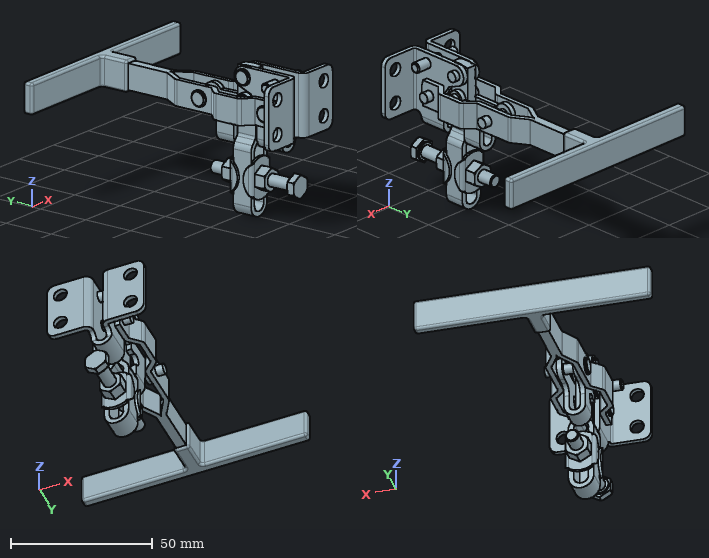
import cadquery as cq
import math

total_length = 90.0
total_height = 56.0
sheet = 2.0
inner_gap = sheet
plate_outer = inner_gap + sheet
fork_outer = plate_outer + sheet

pin_radius = 2.0
pin_head_radius = 3.1
pin_head_height = 1.0
pin_head_chamfer = 0.45
eye_radius = 2 * pin_radius
pivot_height = 41.1
arm_base_pivot = (22.5, total_height - eye_radius)
handle_base_pivot = (11.4, pivot_height)
handle_link_pivot = (40.5, pivot_height)
arm_link_pivot = (22.5, 42.9)
stop_pin_y = 8.1
stop_pin_half_length = 10.0
stop_pin_chamfer = 0.45
fork_pin_tail = 3.0
arm_pin_tail = 2.0

flange_half_width = 18.6
flange_height = 24.0
flange_corner = 3.0
hole_diameter = 5.0
hole_half_spacing = 13.5
hole_rows = (37.55, 50.6)
bend_outer_radius = 2.7
base_tab_front = 5.4
base_tab_back = 16.5
base_tab_fold = 30.4
base_corner_radius = 2.5
base_slope_end = (19.1, 46.4)
base_neck_height = 42.3

link_tab_front = 26.7
link_tab_back = 34.6
link_tab_fold = 29.4
link_top = 43.0
link_bottom = pivot_height - eye_radius
link_end_radius = 3.1
link_relief_radius = 2.2
link_relief_height = 35.6
link_corner_fillet = 3.3

arm_front = 18.5
arm_width = 8.0
arm_middle = arm_front + arm_width / 2
arm_top = 55.8
arm_top_crown = 0.4
loop_radius = 4.7
shoulder_top = 29.6
shoulder_bottom = 26.3
arm_bend_radius = 2.0

fork_height = 10.0
fork_bend_radius = 0.4
fork_front = 7.4
fork_front_crown = 0.7
bulge_outer = 10.0
bulge_step = bulge_outer - fork_outer
bulge_back = 35.1
bulge_front = 15.85
spread_y = 51.2
split_y = 57.8
grip_height = 12.0
grip_middle = 41.2
grip_half_length = 43.5
grip_bar = 4.0
grip_stem_half = 3.0
grip_stem_front = 75.1
grip_round = 1.0
grip_inner_fillet = 1.2

bolt_height = 14.7
bolt_radius = 2.4
bolt_end = 38.45
bolt_end_chamfer = 0.4
hex_flats = 8.0
hex_corners = hex_flats / math.cos(math.pi / 6)
hex_chamfer = 0.4
bolt_head = 2.9
head_collar_radius = 3.4
head_collar = 0.7
nut_thickness = 4.5
washer_thickness = 1.1
washer_radius = 7.9
washer_half_width = loop_radius + washer_thickness
washer_bend = 1.4
wing_chord = 12.6
wing_depth = 3.8


def slab(half_x, y0, y1, z0, z1):
    """Block centred on X = 0 between the given Y and Z limits."""
    block = cq.Workplane("XY").box(2 * half_x, y1 - y0, z1 - z0, centered=(True, False, False))
    return block.translate((0, y0, z0))


def rod(center, radius, x0, x1):
    """Cylinder along X at a (Y, Z) centre."""
    return cq.Workplane("YZ", origin=(x0, 0, 0)).center(*center).circle(radius).extrude(x1 - x0)


def shaft(radius, y0, y1):
    """Cylinder along Y on the bolt axis."""
    return cq.Workplane("XZ", origin=(0, y0, bolt_height)).circle(radius).extrude(y0 - y1)


def hexagon(y0, y1, crowned_face):
    """Hexagonal prism along Y on the bolt axis, corners up and down, one end crowned."""
    prism = cq.Workplane("XZ", origin=(0, y0, bolt_height)).polygon(6, hex_corners).extrude(y0 - y1)
    prism = prism.rotate((0, 0, bolt_height), (0, 1, bolt_height), 30)
    return prism.intersect(shaft(hex_corners / 2, y0, y1).faces(crowned_face).chamfer(hex_chamfer))


def inset(points, thickness):
    """Inner side of a bent sheet whose outer side runs down through the points."""
    normals = []
    for (x0, v0), (x1, v1) in zip(points, points[1:]):
        length = math.hypot(x1 - x0, v1 - v0)
        normals.append(((v1 - v0) / length, (x0 - x1) / length))
    inner = []
    for (x, v), (a0, b0), (a1, b1) in zip(points, normals[:1] + normals, normals + normals[-1:]):
        miter = thickness / (1 + a0 * a1 + b0 * b1)
        inner.append((x + miter * (a0 + a1), v + miter * (b0 + b1)))
    return inner


def bent_plies(workplane, points, inside_radius, depth):
    """Bent sheet whose outer side runs down through the points, with its mirror image about X = 0."""
    inner = inset(points, sheet)
    strip = workplane.polyline(points + inner[::-1]).close().extrude(depth)
    for before, corner, inner_corner, after in zip(points, points[1:], inner[1:], points[2:]):
        lean_before = (corner[0] - before[0]) / (before[1] - corner[1])
        lean_after = (after[0] - corner[0]) / (corner[1] - after[1])
        corners = (corner, inner_corner) if lean_after < lean_before else (inner_corner, corner)
        for (x, v), radius in zip(corners, (inside_radius + sheet, inside_radius)):
            middle = workplane.plane.toWorldCoords((x, v, depth / 2)).toTuple()
            strip = strip.edges(cq.selectors.NearestToPointSelector(middle)).fillet(radius)
    return strip.union(strip.mirror("YZ"))


def u_channel(y0, y1, fold, top):
    """Two side plates joined below Z = fold by a half-round bottom."""
    def profile(half_x):
        outline = cq.Workplane("XZ", origin=(0, y1, 0)).moveTo(-half_x, top).lineTo(-half_x, fold)
        outline = outline.threePointArc((0, fold - half_x), (half_x, fold)).lineTo(half_x, top)
        return outline.close().extrude(y1 - y0)
    return profile(plate_outer).cut(profile(inner_gap))


def yz_rectangle(y0, y1, z0, z1):
    """Closed rectangle in the YZ plane."""
    return cq.Workplane("YZ").polyline([(y0, z0), (y1, z0), (y1, z1), (y0, z1)]).close()


def plate_pair(outline):
    """Both base-width plates cut from a closed YZ outline."""
    return outline.extrude(plate_outer, both=True).cut(slab(inner_gap, 0, total_length, 0, total_height))


def crowned_block(shoulders, crest, far_corners):
    """Block across X whose (Y, Z) outline has one arched end through the crest, between the shoulders."""
    outline = cq.Workplane("YZ").moveTo(*shoulders[0]).threePointArc(crest, shoulders[1])
    for corner in far_corners:
        outline = outline.lineTo(*corner)
    return outline.close().extrude(bulge_outer, both=True)


def headed_pin(center, head_face, tail):
    """Pin with a chamfered head on the -X side; the shank ends beyond the +X face."""
    head = rod(center, pin_head_radius, -head_face - pin_head_height, -head_face)
    head = head.faces("<X").chamfer(pin_head_chamfer)
    return head.union(rod(center, pin_radius, -head_face, head_face + tail))


def mounting_base():
    """Two angle plates with drilled flanges, joined by a folded tab at the bottom."""
    flange_bottom = total_height - flange_height
    outer = [(flange_half_width, 0), (flange_half_width, sheet), (plate_outer, sheet),
             (plate_outer, base_tab_front), (inner_gap, base_tab_front), (inner_gap, 0)]
    flange = cq.Workplane("XY").polyline(outer).close().extrude(flange_height)
    flange = flange.edges(cq.selectors.NearestToPointSelector((inner_gap, 0, flange_height / 2)))
    flange = flange.fillet(bend_outer_radius)
    bend_edge = cq.selectors.NearestToPointSelector((plate_outer, sheet, flange_height / 2))
    flange = flange.edges(bend_edge).fillet(bend_outer_radius - sheet)
    flange = flange.faces(">X").edges("|Y").fillet(flange_corner).translate((0, 0, flange_bottom))
    for z in hole_rows:
        hole = cq.Workplane("XZ", origin=(hole_half_spacing, 0, z)).circle(hole_diameter / 2)
        flange = flange.cut(hole.extrude(-sheet))
    flanges = flange.union(flange.mirror("YZ"))

    eye_y, eye_z = arm_base_pivot
    slope_y, slope_z = base_slope_end
    center_direction = math.atan2(slope_z - eye_z, slope_y - eye_y)
    tangent_direction = center_direction + math.acos(eye_radius / math.dist(arm_base_pivot, base_slope_end))
    slope_start = (eye_y + eye_radius * math.cos(tangent_direction),
                   eye_z + eye_radius * math.sin(tangent_direction))
    outline = (
        cq.Workplane("YZ")
        .moveTo(base_tab_front, total_height)
        .lineTo(eye_y, total_height)
        .threePointArc((eye_y + eye_radius, eye_z), slope_start)
        .lineTo(slope_y, slope_z)
        .lineTo(base_tab_back, base_neck_height)
        .lineTo(base_tab_back, base_tab_fold)
        .lineTo(base_tab_front, base_tab_fold)
        .close()
    )

    corner_y = base_tab_front - base_corner_radius
    corner_z = flange_bottom - base_corner_radius
    corner = slab(plate_outer, corner_y, base_tab_front, corner_z, flange_bottom)
    corner = corner.cut(rod((corner_y, corner_z), base_corner_radius, -plate_outer, plate_outer))
    corner = corner.cut(slab(inner_gap, 0, base_tab_front, 0, total_height))

    tab = u_channel(base_tab_front, base_tab_back, base_tab_fold, flange_bottom)
    return flanges.union(plate_pair(outline)).union(corner).union(tab)


def link():
    """Two plates with an eye at each end, joined by a folded stop tab."""
    bar = yz_rectangle(arm_link_pivot[0], handle_link_pivot[0], link_bottom, link_top)
    tab_plate = yz_rectangle(link_tab_front, link_tab_back, link_tab_fold, link_bottom)
    plates = plate_pair(bar).union(plate_pair(tab_plate))
    for side in (-1, 1):
        middle = side * (inner_gap + plate_outer) / 2
        corner = cq.selectors.NearestToPointSelector((middle, link_tab_back, link_bottom))
        plates = plates.edges(corner).fillet(link_corner_fillet)
    for center, radius in ((handle_link_pivot, eye_radius), (arm_link_pivot, link_end_radius)):
        eye = rod(center, radius, -plate_outer, plate_outer)
        plates = plates.union(eye.cut(rod(center, radius, -inner_gap, inner_gap)))
    plates = plates.union(u_channel(link_tab_front, link_tab_back, link_tab_fold, link_tab_fold + sheet))
    relief = rod((link_tab_front, link_relief_height), link_relief_radius, -plate_outer, plate_outer)
    return plates.cut(relief)


def clamp_arm():
    """Two plies lying together at the top and spreading into a slotted loop below."""
    path = [(inner_gap, arm_top), (inner_gap, shoulder_top),
            (loop_radius, shoulder_bottom), (loop_radius, loop_radius)]
    back = cq.Workplane("XZ", origin=(0, arm_front + arm_width, 0))
    plies = bent_plies(back, path, arm_bend_radius, arm_width)
    ring = back.center(0, loop_radius).circle(loop_radius).circle(loop_radius - sheet).extrude(arm_width)
    arm = plies.union(ring.intersect(slab(loop_radius, 0, total_length, 0, loop_radius)))
    shoulders = [(arm_front, arm_top - arm_top_crown), (arm_front + arm_width, arm_top - arm_top_crown)]
    base = [(arm_front + arm_width, 0), (arm_front, 0)]
    return arm.intersect(crowned_block(shoulders, (arm_middle, arm_top), base))


def handle():
    """Two plies lying together inside the grip and forking around the linkage."""
    bottom = pivot_height - fork_height / 2
    path = [(sheet, grip_stem_front + grip_round), (sheet, split_y),
            (fork_outer, spread_y), (fork_outer, bulge_back),
            (bulge_outer, bulge_back - bulge_step), (bulge_outer, bulge_front + bulge_step),
            (fork_outer, bulge_front), (fork_outer, fork_front)]
    fork = bent_plies(cq.Workplane("XY", origin=(0, 0, bottom)), path, fork_bend_radius, fork_height)
    top = bottom + fork_height
    shoulders = [(fork_front + fork_front_crown, bottom), (fork_front + fork_front_crown, top)]
    back = [(total_length, top), (total_length, bottom)]
    return fork.intersect(crowned_block(shoulders, (fork_front, pivot_height), back))


def grip():
    """Rounded T-shaped grip over the end of the handle."""
    bar_front = total_length - grip_bar
    right = [(grip_stem_half, grip_stem_front), (grip_stem_half, bar_front),
            (grip_half_length, bar_front), (grip_half_length, total_length)]
    left = [(-x, y) for x, y in reversed(right)]
    base = cq.Workplane("XY", origin=(0, 0, grip_middle - grip_height / 2))
    body = base.polyline(right + left).close().extrude(grip_height)
    for side in (-1, 1):
        corner = cq.selectors.NearestToPointSelector((side * grip_stem_half, bar_front, pivot_height))
        body = body.edges(corner).fillet(grip_inner_fillet)
    rims = body.faces("|Z").edges()
    outer_corners = body.edges("|Z").edges("<X or >X or <Y")
    return rims.add(outer_corners).fillet(grip_round)


def washer():
    """Flanged washer on the back of the arm, its two wings folded forward along the loop."""
    back = arm_front + arm_width + washer_thickness
    plate = shaft(washer_radius, back - washer_thickness, back)
    plate = plate.intersect(slab(washer_half_width - washer_bend, 0, total_length, 0, total_height))
    front = back - wing_depth
    half_chord = wing_chord / 2
    channel = slab(washer_half_width, front, back, bolt_height - half_chord, bolt_height + half_chord)
    channel = channel.faces(">Y").edges("|Z").fillet(washer_bend)
    channel = channel.cut(slab(loop_radius, 0, back - washer_thickness, 0, total_height))
    wing_radius = (half_chord ** 2 + wing_depth ** 2) / (2 * wing_depth)
    channel = channel.intersect(rod((front + wing_radius, bolt_height), wing_radius,
                                    -washer_half_width, washer_half_width))
    return plate.union(channel)


def spindle():
    """Hexagon bolt clamped in the arm slot by a washer and nut on each side."""
    bolt = shaft(bolt_radius, 0, bolt_end).faces(">Y").chamfer(bolt_end_chamfer)
    bolt = bolt.union(hexagon(0, bolt_head, "<Y"))
    bolt = bolt.union(shaft(head_collar_radius, bolt_head, bolt_head + head_collar))
    back = arm_front + arm_width + washer_thickness
    nut = hexagon(back, back + nut_thickness, ">Y")
    for part in (washer(), nut):
        bolt = bolt.union(part)
        bolt = bolt.union(part.mirror("XZ", (0, arm_middle, 0)))
    return bolt


def stop_pin():
    """Plain chamfered pin across the base plates."""
    pin = rod((stop_pin_y, arm_base_pivot[1]), pin_radius, -stop_pin_half_length, stop_pin_half_length)
    return pin.faces("<X or >X").chamfer(stop_pin_chamfer)


parts = [
    mounting_base(), link(), clamp_arm(), handle(), grip(), spindle(), stop_pin(),
    headed_pin(arm_base_pivot, plate_outer, arm_pin_tail),
    headed_pin(arm_link_pivot, plate_outer, arm_pin_tail),
    headed_pin(handle_base_pivot, fork_outer, fork_pin_tail),
    headed_pin(handle_link_pivot, fork_outer, fork_pin_tail),
]
result = parts[0]
for part in parts[1:]:
    result = result.union(part)